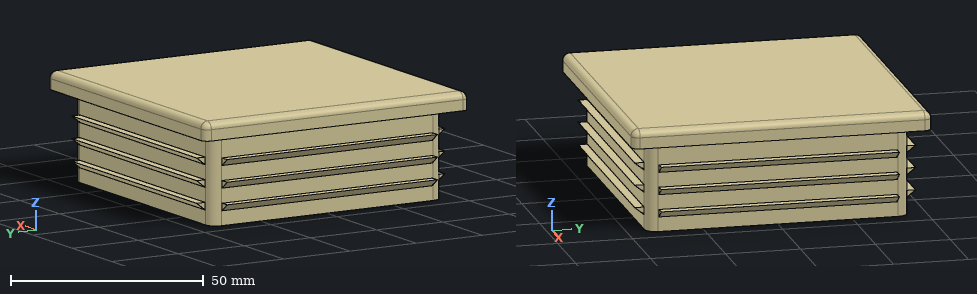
import cadquery as cq


cover_side = 80.0
cover_thickness = 5.0
cover_round = 2.0

plug_side = 70.0
plug_height = 24.0
plug_corner_radius = 3.0

rib_end_gap = 0.25
rib_length = plug_side - 2 * (plug_corner_radius + rib_end_gap)
rib_reach = 2.5
rib_height = 2.0
rib_pitch = 6.0
rib_count = 3
lowest_rib_top = 6.0

side_count = 4
full_turn = 360.0


def make_cover():
    """Square plate resting on the plug, rounded at the corners and top edge."""
    plate = (
        cq.Workplane("XY")
        .workplane(offset=plug_height)
        .rect(cover_side, cover_side)
        .extrude(cover_thickness)
    )
    return plate.edges("|Z or >Z").fillet(cover_round)


def make_plug():
    """Solid square plug with rounded vertical corners, standing on Z = 0."""
    block = cq.Workplane("XY").rect(plug_side, plug_side).extrude(plug_height)
    return block.edges("|Z").fillet(plug_corner_radius)


def make_rib(top):
    """Triangular rib on the +X wall of the plug, with its flat face at Z = top."""
    wall = plug_side / 2
    return (
        cq.Workplane("XZ")
        .moveTo(wall, top)
        .lineTo(wall + rib_reach, top)
        .lineTo(wall, top - rib_height)
        .close()
        .extrude(rib_length / 2, both=True)
    )


def add_ribs(body):
    """Join the stack of ribs to each of the four plug walls."""
    for level in range(rib_count):
        rib = make_rib(lowest_rib_top + level * rib_pitch)
        for side in range(side_count):
            angle = side * full_turn / side_count
            body = body.union(rib.rotate((0, 0, 0), (0, 0, 1), angle))
    return body


result = add_ribs(make_plug().union(make_cover()))